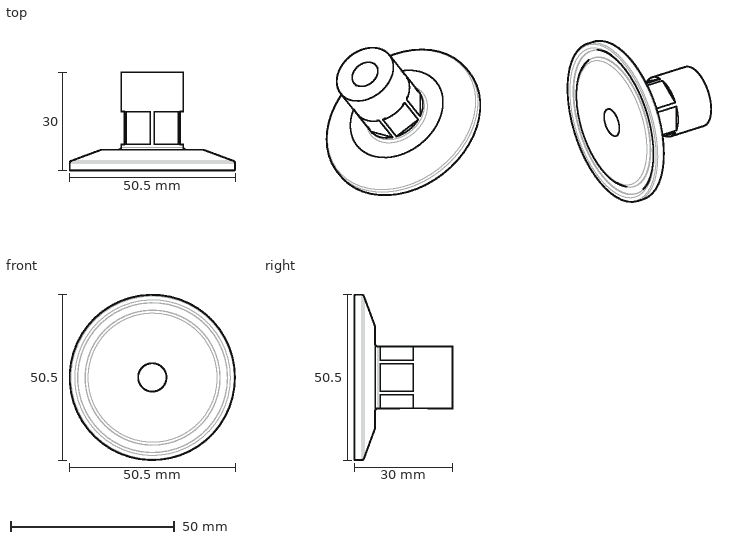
import cadquery as cq
import math

flange_radius = 25.25
total_length = 30.0
bore_radius = 4.3

flange_thickness = 6.4
front_edge_radius = 0.35
cylindrical_rim_end = 2.3
back_edge_radius = 0.7
cone_small_radius = 15.5
cone_slope = math.radians(20)

neck_radius = 9.5
neck_fillet = 0.7
across_flats = 17.0
flats_length = 10.0
flats_to_end = 12.0
flats_start = total_length - flats_to_end - flats_length

groove_center_radius = 21.7
groove_half_width = 2.0
groove_lip_radius = 0.9
groove_floor_radius = 1.15
groove_wall_angle = math.radians(70)


def arc_point(center, radius, angle):
    """Point on a circle, with the angle measured from the radial direction."""
    return (center[0] + radius * math.cos(angle), center[1] + radius * math.sin(angle))


def make_body():
    """Revolve the flange and the plain round neck as one profile."""
    front_center = (flange_radius - front_edge_radius, front_edge_radius)
    back_center = (flange_radius - back_edge_radius, cylindrical_rim_end)
    neck_fillet_center = (neck_radius + neck_fillet, flange_thickness + neck_fillet)
    cone_normal = math.pi / 2 - cone_slope
    return (
        cq.Workplane("XY")
        .moveTo(bore_radius, 0)
        .lineTo(front_center[0], 0)
        .threePointArc(
            arc_point(front_center, front_edge_radius, -math.pi / 4),
            (flange_radius, front_edge_radius),
        )
        .lineTo(flange_radius, cylindrical_rim_end)
        .threePointArc(
            arc_point(back_center, back_edge_radius, cone_normal / 2),
            arc_point(back_center, back_edge_radius, cone_normal),
        )
        .lineTo(cone_small_radius, flange_thickness)
        .lineTo(neck_fillet_center[0], flange_thickness)
        .threePointArc(
            arc_point(neck_fillet_center, neck_fillet, -3 * math.pi / 4),
            (neck_radius, neck_fillet_center[1]),
        )
        .lineTo(neck_radius, total_length)
        .lineTo(bore_radius, total_length)
        .close()
        .revolve(360, (0, 0, 0), (0, 1, 0))
    )


def make_groove():
    """Ring with a round floor, steep straight walls and rounded lips."""
    sine = math.sin(groove_wall_angle)
    cosine = math.cos(groove_wall_angle)
    floor_half_width = groove_floor_radius * sine
    lip_width = groove_lip_radius * sine
    wall_width = groove_half_width - floor_half_width - lip_width
    lip_depth = groove_lip_radius * (1 - cosine)
    wall_end_depth = lip_depth + wall_width * math.tan(groove_wall_angle)
    groove_depth = wall_end_depth + groove_floor_radius * (1 - cosine)

    inner_edge = groove_center_radius - groove_half_width
    outer_edge = groove_center_radius + groove_half_width
    half_angle = groove_wall_angle / 2
    lip_mid_width = groove_lip_radius * math.sin(half_angle)
    lip_mid_depth = groove_lip_radius * (1 - math.cos(half_angle))
    return (
        cq.Workplane("XY")
        .moveTo(inner_edge, 0)
        .threePointArc((inner_edge + lip_mid_width, lip_mid_depth), (inner_edge + lip_width, lip_depth))
        .lineTo(groove_center_radius - floor_half_width, wall_end_depth)
        .threePointArc(
            (groove_center_radius, groove_depth),
            (groove_center_radius + floor_half_width, wall_end_depth),
        )
        .lineTo(outer_edge - lip_width, lip_depth)
        .threePointArc((outer_edge - lip_mid_width, lip_mid_depth), (outer_edge, 0))
        .close()
        .revolve(360, (0, 0, 0), (0, 1, 0))
    )


def cut_wrench_flats(body):
    """Cut six flats around the neck, two of them facing +X and -X."""
    flat_cutter = cq.Workplane("XY").box(
        neck_radius, flats_length, 2 * neck_radius, centered=(False, False, True)
    ).translate((across_flats / 2, flats_start, 0))
    for index in range(6):
        body = body.cut(flat_cutter.rotate((0, 0, 0), (0, 1, 0), 60 * index))
    return body


result = cut_wrench_flats(make_body().cut(make_groove()))